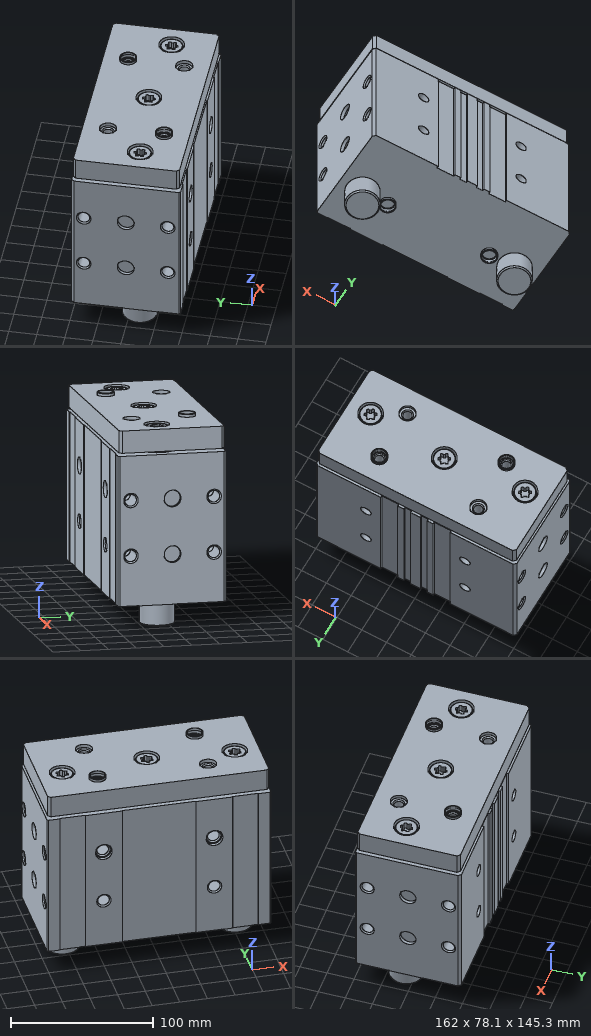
import cadquery as cq
import math


housing_width = 162.0
housing_depth = 78.1
housing_height = 108.0
half_width = housing_width / 2
half_depth = housing_depth / 2
front_chamfer = 1.0
back_chamfer = 2.0

front_relief_depth = 0.5
corner_pad_inner_x = 71.6
screw_pad_outer_x = 53.2
screw_pad_inner_x = 26.6

back_relief_depth = 1.5
back_pad_inner_x = 28.0
side_rail_outer_x = 14.4
side_rail_inner_x = 9.4
middle_rail_half_width = 4.1

mount_x = 40.0
mount_lower_z = 36.0
mount_pitch_z = 40.0
mount_upper_z = mount_lower_z + mount_pitch_z
mount_levels = (mount_lower_z, mount_upper_z)
side_thread_y = 30.0
side_thread_depth = 20.0
m10_core_dia = 8.38
m10_mouth_dia = 10.4
drill_point_angle = 118.0

sleeve_dia = 12.0
sleeve_bore = 10.4
sleeve_chamfer = 0.4
sleeve_recess_depth = 2.6
sleeve_protrusion = 2.3
sleeve_length = sleeve_recess_depth + sleeve_protrusion

plate_gap = 2.0
guide_rod_dia = 25.0
guide_rod_x = 62.4
guide_rod_y = -7.0
guide_rod_overhang = 17.0
guide_rod_chamfer = 1.0
piston_rod_dia = 14.0
piston_rod_y = -2.0
piston_rod_depth = 90.0
bottom_sleeve_x = 41.7

plate_width = 160.0
plate_depth = 76.0
plate_thickness = 16.0
plate_corner_chamfer = 2.0
plate_bottom_z = housing_height + plate_gap
plate_top_z = plate_bottom_z + plate_thickness
plate_hole_y = 20.0
m8_core_dia = 6.65
m8_mouth_dia = 8.4

counterbore_dia = 18.0
counterbore_depth = 11.0
head_dia = 16.0
head_height = 10.0
head_chamfer = 0.5
torx_tip_dia = 9.0
torx_core_dia = 6.6
torx_lobe_width = 2.0
torx_lobes = 6
torx_depth = 5.0

guide_rod_points = [(side * guide_rod_x, guide_rod_y) for side in (-1, 1)]
piston_rod_point = (0, piston_rod_y)
bottom_sleeve_points = [(side * bottom_sleeve_x, guide_rod_y) for side in (-1, 1)]
plate_hole_points = [(sx * mount_x, sy * plate_hole_y) for sx in (-1, 1) for sy in (-1, 1)]
plate_sleeve_points = [(side * mount_x, side * plate_hole_y) for side in (-1, 1)]


def cylinder(dia, height, x, y, bottom_z):
    """Upright cylinder standing on bottom_z."""
    return cq.Workplane("XY", origin=(x, y, bottom_z)).circle(dia / 2).extrude(height)


def bore_cutter(point, direction, profile, tip_length=0.0):
    """Turned cutter: profile lists (radius, depth) from the mouth to the end of a hole.

    A tip_length above zero adds a conical drill point.
    """
    axis = cq.Vector(*direction)
    radial = cq.Vector(1, 0, 0) if axis.x == 0 else cq.Vector(0, 0, 1)
    sketch_plane = cq.Plane(origin=point, xDir=radial, normal=radial.cross(axis))
    end_depth = profile[-1][1] + tip_length
    outline = [(0, 0)] + profile + [(0, end_depth)]
    return cq.Workplane(sketch_plane).polyline(outline).close().revolve(360, (0, 0), (0, 1))


def threaded_profile(core_dia, mouth_dia, depth, start=0.0):
    """Core hole with a 45 degree countersunk mouth, beginning at the depth start."""
    countersink = (mouth_dia - core_dia) / 2
    return [(mouth_dia / 2, start), (core_dia / 2, start + countersink), (core_dia / 2, depth)]


def recessed_profile(core_dia, mouth_dia, depth):
    """Centring recess followed by a threaded hole."""
    recess = [(sleeve_dia / 2, 0), (sleeve_dia / 2, sleeve_recess_depth)]
    return recess + threaded_profile(core_dia, mouth_dia, depth, sleeve_recess_depth)


def housing_block():
    """Extruded body with chamfered corners and shallow reliefs front and back."""
    block = cq.Workplane("XY").rect(housing_width, housing_depth).extrude(housing_height)
    block = block.edges("|Z and <Y").chamfer(front_chamfer)
    block = block.edges("|Z and >Y").chamfer(back_chamfer)

    def relief(x_from, x_to, depth, face_side):
        width = x_to - x_from
        x_mid = (x_from + x_to) / 2
        return (
            cq.Workplane("XY")
            .center(x_mid, face_side * half_depth)
            .rect(width, 2 * depth)
            .extrude(housing_height)
        )

    front_relief = (screw_pad_outer_x, corner_pad_inner_x)
    back_reliefs = [(side_rail_outer_x, back_pad_inner_x), (middle_rail_half_width, side_rail_inner_x)]
    for side in (-1, 1):
        block = block.cut(relief(*sorted(side * x for x in front_relief), front_relief_depth, -1))
        for span in back_reliefs:
            block = block.cut(relief(*sorted(side * x for x in span), back_relief_depth, 1))
    middle = relief(-screw_pad_inner_x, screw_pad_inner_x, front_relief_depth, -1)
    return block.cut(middle)


def make_housing():
    housing = housing_block()

    upper = recessed_profile(m10_core_dia, m10_mouth_dia, housing_depth)
    lower = threaded_profile(m10_core_dia, m10_mouth_dia, housing_depth)
    for x in (-mount_x, mount_x):
        for z, profile in ((mount_upper_z, upper), (mount_lower_z, lower)):
            housing = housing.cut(bore_cutter((x, -half_depth, z), (0, 1, 0), profile))

    drill_tip = m10_core_dia / 2 / math.tan(math.radians(drill_point_angle / 2))
    side_thread = threaded_profile(m10_core_dia, m10_mouth_dia, side_thread_depth)
    side_recess = [(sleeve_dia / 2, 0), (sleeve_dia / 2, sleeve_recess_depth)]
    for side in (-1, 1):
        x = side * half_width
        inward = (-side, 0, 0)
        for z in mount_levels:
            housing = housing.cut(bore_cutter((x, 0, z), inward, side_recess))
            for y in (-side_thread_y, side_thread_y):
                housing = housing.cut(bore_cutter((x, y, z), inward, side_thread, drill_tip))

    for x, y in guide_rod_points:
        housing = housing.cut(cylinder(guide_rod_dia, housing_height, x, y, 0))
    piston_bottom_z = housing_height - piston_rod_depth
    housing = housing.cut(cylinder(piston_rod_dia, piston_rod_depth, *piston_rod_point, piston_bottom_z))
    for x, y in bottom_sleeve_points:
        housing = housing.cut(cylinder(sleeve_dia, sleeve_recess_depth, x, y, 0))
    return housing


def torx_socket(x, y, top_z):
    """Six-lobed drive recess below top_z, with one lobe along +Y."""
    bottom_z = top_z - torx_depth
    socket = cylinder(torx_core_dia, torx_depth, x, y, bottom_z)
    lobe_pairs = torx_lobes // 2
    for i in range(lobe_pairs):
        angle = 90 + i * 180 / lobe_pairs
        lobe_pair = (
            cq.Workplane("XY", origin=(x, y, bottom_z))
            .slot2D(torx_tip_dia, torx_lobe_width, angle)
            .extrude(torx_depth)
        )
        socket = socket.union(lobe_pair)
    return socket


def make_carriage():
    """Yoke plate with its three screw heads and the piston rod."""
    carriage = (
        cq.Workplane("XY", origin=(0, 0, plate_bottom_z))
        .rect(plate_width, plate_depth)
        .extrude(plate_thickness)
        .edges("|Z")
        .chamfer(plate_corner_chamfer)
    )
    hole = recessed_profile(m8_core_dia, m8_mouth_dia, plate_thickness)
    for x, y in plate_hole_points:
        carriage = carriage.cut(bore_cutter((x, y, plate_top_z), (0, 0, -1), hole))

    seat_z = plate_top_z - counterbore_depth
    for x, y in guide_rod_points + [piston_rod_point]:
        head = cylinder(head_dia, head_height, x, y, seat_z).faces(">Z").chamfer(head_chamfer)
        head = head.cut(torx_socket(x, y, seat_z + head_height))
        carriage = carriage.cut(cylinder(counterbore_dia, counterbore_depth, x, y, seat_z))
        carriage = carriage.union(head)

    rod_length = piston_rod_depth + plate_gap
    rod = cylinder(piston_rod_dia, rod_length, *piston_rod_point, plate_bottom_z - rod_length)
    return carriage.union(rod)


def make_guide_rod(x, y):
    length = guide_rod_overhang + plate_bottom_z
    rod = cylinder(guide_rod_dia, length, x, y, -guide_rod_overhang)
    return rod.faces("<Z").chamfer(guide_rod_chamfer)


def make_sleeve(x, y, bottom_z):
    sleeve = cylinder(sleeve_dia, sleeve_length, x, y, bottom_z)
    sleeve = sleeve.faces("<Z or >Z").chamfer(sleeve_chamfer)
    return sleeve.cut(cylinder(sleeve_bore, sleeve_length, x, y, bottom_z))


housing = make_housing()
carriage = make_carriage()
guide_rods = [make_guide_rod(x, y) for x, y in guide_rod_points]
plate_sleeves = [make_sleeve(x, y, plate_top_z - sleeve_recess_depth) for x, y in plate_sleeve_points]
bottom_sleeves = [make_sleeve(x, y, -sleeve_protrusion) for x, y in bottom_sleeve_points]

repeated_bodies = guide_rods + plate_sleeves + bottom_sleeves
result = cq.Compound.makeCompound([housing.val(), carriage.val(), *[body.val() for body in repeated_bodies]])